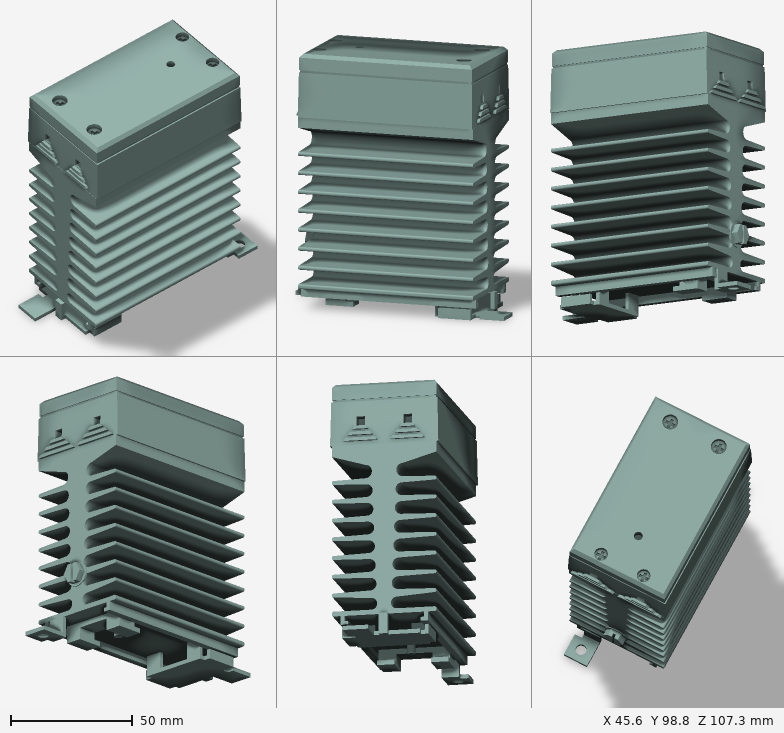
import cadquery as cq
import math

total_height = 107.3
sink_half_width = 22.0
sink_half_length = 38.1
base_bottom = 8.8
base_top = 10.8
sink_top = 80.9
shoulder_bottom = 76.4
shoulder_root_z = 72.3
fin_count = 7
fin_pitch = 7.9
top_fin_z = 65.4
fin_tip_half = 0.8
fin_root_half = 1.3
lowest_fin_root_drop = 1.9
core_top_half = 5.2
core_step = 0.3
tip_radius = 0.8

rail_outer = 18.4
rail_thickness = 1.6
rail_bottom = 5.0
rail_lip = 15.2

housing_top = 99.6
housing_bottom_half_x = 22.8
housing_bottom_half_y = 38.0
housing_top_half_x = 22.3
housing_top_half_y = 37.7
lid_bottom = 100.6
lid_half_x = 22.0
lid_half_y = 37.7
lid_bevel_x = 1.3
lid_bevel_y = 1.5
lid_bevel_z = 1.5
groove_depth = 0.3

rib_reach = 39.2
front_entry_x = 9.9
front_entry_z = 89.0
front_rib_halves = [(2.3, 3.2), (4.2, 5.3), (6.0, 7.0)]
back_entry_x = 11.0
back_entry_z = 87.7
back_rib_halves = [(2.9, 4.3), (5.7, 7.1), (8.5, 9.9)]
rib_height = 1.4
rib_spacing = 2.5
last_rib_foot = 0.5
window_size = 3.8
window_sill = 0.3
window_depth = 4.3

back_screws = {"x": 9.9, "y": 33.1, "radius": 2.8}
front_screws = {"x": 11.3, "y": -30.4, "radius": 3.2}
screw_sink = 2.4
cross_length = 4.1
cross_width = 1.3
cross_depth = 1.1
indicator_y = 19.0
indicator_radius = 1.8
indicator_depth = 4.3

earth_z = 25.4
washer_radius = 5.3
washer_inner_y = 37.7
washer_outer_y = 38.5
hex_flats = 7.8
head_outer_y = 41.4
slot_width = 1.2
slot_depth = 1.6

sheet = 1.7
jaw_inner = 7.6
jaw_outer = 15.0
back_foot_end = 49.8
back_foot_outer = 18.4
back_plate_y = 36.8
back_notch = 40.0
foot_hole = (13.0, 44.8)
foot_hole_radius = 2.3
front_foot_end = -49.0
front_foot_inner = -4.3
front_notch = -38.5
front_neck_outer = -12.3
slide_front = -38.0
slide_back = -19.0
slide_tab = 1.5
tray_half_width = 18.1
tray_front = -35.7
tray_back = -21.6
tray_height = 4.2
tray_wall = 1.5
post_half = 1.9
post_front = -40.2
post_thickness = 1.7
hook_back = 28.7
hook_front = 20.0
hook_tip = 16.6
hook_plate_bottom = 6.5
hook_bottom = 1.5
hook_tip_top = 3.5
pin_y = 13.8
pin_radius = 1.8
pin_bottom = 4.6


def block(x0, x1, y0, y1, z0, z1):
    """Axis-aligned box between two opposite corners."""
    return cq.Workplane("XY").box(x1 - x0, y1 - y0, z1 - z0, centered=False).translate((x0, y0, z0))


def both_sides(body):
    """A body together with its mirror image across the YZ plane."""
    return body.union(body.mirror("YZ"))


def extrude_along_length(points):
    """XZ outline extruded over the full length of the sink."""
    return cq.Workplane("XZ").polyline(points).close().extrude(sink_half_length, both=True)


def fin_gap(index):
    """Air gap above fin number `index`, or above the base, on the +X side, with a round root."""
    root_x = core_top_half - core_step * index
    upper_fin_z = top_fin_z - fin_pitch * (index - 1)
    lower_fin_z = upper_fin_z - fin_pitch
    if index == 0:
        upper_root, upper_tip = shoulder_root_z, shoulder_bottom
    else:
        root_drop = lowest_fin_root_drop if index == fin_count else fin_root_half
        upper_root, upper_tip = upper_fin_z - root_drop, upper_fin_z - fin_tip_half
    if index == fin_count:
        lower_root, lower_tip = base_top, base_top
    else:
        lower_root, lower_tip = lower_fin_z + fin_root_half, lower_fin_z + fin_tip_half
    root_depth = (upper_root - lower_root) / 2
    root_middle = (upper_root + lower_root) / 2
    return (
        cq.Workplane("XZ")
        .moveTo(root_x + root_depth, lower_root)
        .lineTo(sink_half_width, lower_tip)
        .lineTo(sink_half_width, upper_tip)
        .lineTo(root_x + root_depth, upper_root)
        .threePointArc((root_x, root_middle), (root_x + root_depth, lower_root))
        .close().extrude(sink_half_length, both=True)
    )


def make_sink():
    sink = block(
        -sink_half_width, sink_half_width, -sink_half_length, sink_half_length, base_bottom, sink_top
    )
    for index in range(fin_count + 1):
        sink = sink.cut(both_sides(fin_gap(index)))
    for side in (-1, 1):
        x_range = sorted((side * (sink_half_width - 0.1), side * (sink_half_width + 0.1)))
        tips = cq.selectors.BoxSelector(
            (x_range[0], -sink_half_length, base_bottom - 0.1),
            (x_range[1], sink_half_length, top_fin_z + fin_pitch / 2),
        )
        sink = sink.edges("|Y").edges(tips).fillet(tip_radius)
    rail = extrude_along_length([
        (rail_outer, base_bottom),
        (rail_outer, rail_bottom),
        (rail_lip, rail_bottom),
        (rail_lip, rail_bottom + rail_thickness),
        (rail_outer - rail_thickness, rail_bottom + rail_thickness),
        (rail_outer - rail_thickness, base_bottom),
    ])
    return sink.union(both_sides(rail))


def frustum(z0, half_x0, half_y0, z1, half_x1, half_y1):
    """Straight loft between two centred rectangles."""
    return (
        cq.Workplane("XY", origin=(0, 0, z0)).rect(2 * half_x0, 2 * half_y0)
        .workplane(offset=z1 - z0).rect(2 * half_x1, 2 * half_y1)
        .loft(ruled=True)
    )


def make_housing():
    housing = frustum(
        sink_top, housing_bottom_half_x, housing_bottom_half_y,
        housing_top, housing_top_half_x, housing_top_half_y,
    )
    groove_x = lid_half_x - groove_depth
    groove_y = lid_half_y - groove_depth
    groove = block(-groove_x, groove_x, -groove_y, groove_y, housing_top, lid_bottom)
    bevel_z = total_height - lid_bevel_z
    lid = block(-lid_half_x, lid_half_x, -lid_half_y, lid_half_y, lid_bottom, bevel_z)
    bevel = frustum(
        bevel_z, lid_half_x, lid_half_y,
        total_height, lid_half_x - lid_bevel_x, lid_half_y - lid_bevel_y,
    )
    return housing.union(groove).union(lid).union(bevel)


def entry_ribs(centre_x, top_z, rib_halves, end):
    """Stack of widening ribs below one wire entry; `end` is -1 for front, +1 for back."""
    inner_y = housing_top_half_y - groove_depth
    ribs = cq.Workplane("XY")
    for row, (top_half, bottom_half) in enumerate(rib_halves):
        rib_top = top_z - row * rib_spacing
        rib_bottom = rib_top - rib_height
        points = [
            (-top_half, rib_top),
            (-bottom_half, rib_bottom),
            (bottom_half, rib_bottom),
            (top_half, rib_top),
        ]
        if row == len(rib_halves) - 1:
            foot_top = rib_bottom + last_rib_foot
            points.insert(1, (-bottom_half, foot_top))
            points.insert(4, (bottom_half, foot_top))
        rib = cq.Workplane("XZ").polyline(points).close().extrude(-end * (rib_reach - inner_y))
        ribs = ribs.union(rib.translate((centre_x, end * inner_y, 0)))
    return ribs


def entry_window(centre_x, ribs_top_z, end):
    """Square pocket above the ribs of one wire entry."""
    cutter_depth = 2 * window_depth
    window = cq.Workplane("XY").box(window_size, cutter_depth, window_size)
    centre_z = ribs_top_z + window_sill + window_size / 2
    return window.translate((centre_x, end * housing_bottom_half_y, centre_z))


def add_wire_entries(body):
    for side in (-1, 1):
        body = body.union(entry_ribs(side * front_entry_x, front_entry_z, front_rib_halves, -1))
        body = body.union(entry_ribs(side * back_entry_x, back_entry_z, back_rib_halves, 1))
        body = body.cut(entry_window(side * front_entry_x, front_entry_z, -1))
        body = body.cut(entry_window(side * back_entry_x, back_entry_z, 1))
    return body


def cut_lid_details(body):
    for screws in (back_screws, front_screws):
        centres = [(-screws["x"], screws["y"]), (screws["x"], screws["y"])]
        recess = (
            cq.Workplane("XY", origin=(0, 0, total_height))
            .pushPoints(centres).circle(screws["radius"]).extrude(-screw_sink)
        )
        body = body.cut(recess)
        cross_plane = cq.Workplane("XY", origin=(0, 0, total_height - screw_sink)).pushPoints(centres)
        body = body.cut(cross_plane.rect(cross_length, cross_width).extrude(-cross_depth))
        body = body.cut(cross_plane.rect(cross_width, cross_length).extrude(-cross_depth))
    indicator = (
        cq.Workplane("XY", origin=(0, indicator_y, total_height))
        .circle(indicator_radius).extrude(-indicator_depth)
    )
    return body.cut(indicator)


def make_earth_screw():
    washer = (
        cq.Workplane("XZ", origin=(0, washer_inner_y, earth_z))
        .circle(washer_radius).extrude(washer_inner_y - washer_outer_y)
    )
    hex_corners = hex_flats / math.cos(math.pi / 6)
    head = (
        cq.Workplane("XZ", origin=(0, washer_outer_y, earth_z))
        .polygon(6, hex_corners).extrude(washer_outer_y - head_outer_y)
    )
    slot = cq.Workplane("XY").box(slot_width, 2 * slot_depth, 2 * hex_flats)
    return washer.union(head.cut(slot.translate((0, head_outer_y, earth_z))))


def make_back_bracket():
    """Angle bracket with a drilled foot behind the sink."""
    plate_outer_y = back_plate_y + sheet
    upright = block(jaw_inner, jaw_outer, back_plate_y, plate_outer_y, 0, base_bottom)
    neck = block(jaw_inner, jaw_outer, plate_outer_y, back_notch, 0, sheet)
    foot = block(jaw_inner, back_foot_outer, back_notch, back_foot_end, 0, sheet)
    hole = cq.Workplane("XY").center(*foot_hole).circle(foot_hole_radius).extrude(sheet)
    return upright.union(neck).union(foot).cut(hole)


def make_rail_slide():
    """Sheet-metal slide with turned-up tray walls, a foot and a release post."""
    plate = block(-jaw_outer, jaw_outer, tray_front, slide_back, 0, sheet)
    apron = block(front_neck_outer, jaw_outer, slide_front, tray_front, 0, sheet)
    tabs = both_sides(block(jaw_inner, jaw_outer, slide_back - slide_tab, slide_back, 0, base_bottom))
    tray = block(-tray_half_width, tray_half_width, tray_front, tray_back, 0, sheet)
    wall_inner = tray_half_width - tray_wall
    walls = both_sides(block(wall_inner, tray_half_width, tray_front, tray_back, 0, tray_height))
    foot_neck = block(front_neck_outer, front_foot_inner, front_notch, slide_front, 0, sheet)
    foot = block(-jaw_outer, front_foot_inner, front_foot_end, front_notch, 0, sheet)
    post_neck = block(-post_half, post_half, post_front, slide_front, 0, sheet)
    post = block(-post_half, post_half, post_front, post_front + post_thickness, 0, base_bottom)
    slide = plate.union(apron).union(tabs).union(tray).union(walls)
    return slide.union(foot_neck).union(foot).union(post_neck).union(post)


def make_rail_hooks():
    """Fixed hooks that grip the mounting rail, and the stop pin beside them."""
    plate = block(-jaw_outer, jaw_outer, hook_front, hook_back, hook_plate_bottom, base_bottom)
    shank = block(jaw_inner, jaw_outer, hook_front, hook_back, hook_bottom, base_bottom)
    tip = block(jaw_inner, jaw_outer, hook_tip, hook_front, hook_bottom, hook_tip_top)
    pin = (
        cq.Workplane("XY", origin=(0, pin_y, pin_bottom))
        .circle(pin_radius).extrude(base_bottom - pin_bottom)
    )
    return plate.union(both_sides(shank.union(tip))).union(pin)


result = make_sink().union(make_housing())
result = add_wire_entries(result)
result = cut_lid_details(result)
for attachment in (make_earth_screw(), make_back_bracket(), make_rail_slide(), make_rail_hooks()):
    result = result.union(attachment)